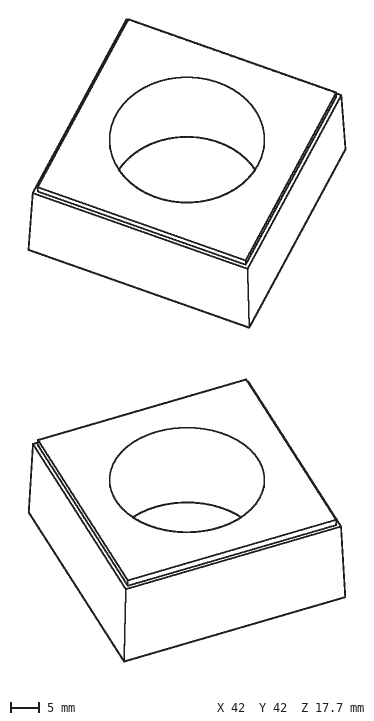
import cadquery as cq

base_side = 42.0
total_height = 17.7

step_side = 39.52
step_height = 1.25

body_top_side = 40.85
body_height = total_height - step_height

bore_diameter = 27.0

body = (
    cq.Workplane("XY")
    .rect(base_side, base_side)
    .workplane(offset=body_height)
    .rect(body_top_side, body_top_side)
    .loft(ruled=True)
)

step = (
    cq.Workplane("XY")
    .workplane(offset=body_height)
    .rect(step_side, step_side)
    .extrude(step_height)
)

bore = cq.Workplane("XY").circle(bore_diameter / 2).extrude(total_height)

result = body.union(step).cut(bore)